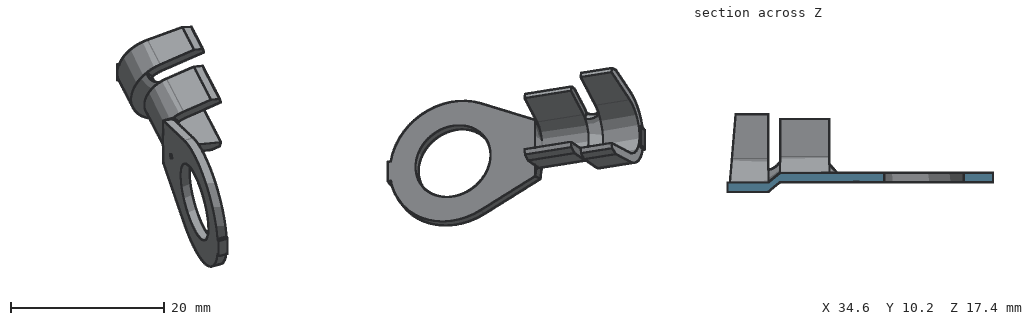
import cadquery as cq
import math

thickness = 1.27

ring_radius = 8.72
hole_radius = 5.17
tongue_start_x = -11.66
tongue_start_half_width = 3.97
dimple_x = -8.81
dimple_radius = 0.3
dimple_depth = 0.1

tab_half_width = 1.42
ring_tab_end_x = 9.01
total_length = 34.61
crimp_tab_end_x = ring_tab_end_x - total_length

bend_axis_y = 3.96
wire_radius = bend_axis_y
insulation_radius = wire_radius + thickness
insulation_bottom_y = bend_axis_y - insulation_radius
leg_angle = math.radians(12.8)
tip_bevel_length = 1.14
tip_bevel_depth = 0.55

wire_start_x = -18.74
wire_end_x = -12.33
wire_top_y = 8.28
insulation_end_x = -20.28
insulation_top_y = 8.89
insulation_bottom_start_x = -25.41
insulation_top_start_x = -24.55

crimp_neck_insulation_angle = 54.5
crimp_neck_middle_angle = 52.5
crimp_neck_wire_angle = 62
tongue_neck_angle = 55
tongue_bend_setback = 0.33


def barrel(outer_radius, top_y, start_x, end_x):
    """U-shaped crimp barrel with straight flared legs and bevelled tips."""
    inner_radius = outer_radius - thickness
    cos_leg = math.cos(leg_angle)
    sin_leg = math.sin(leg_angle)
    leg_length = (top_y - bend_axis_y + inner_radius * sin_leg) / cos_leg

    def leg_point(along, offset, side):
        """Point at a distance along the leg and an offset from the bend axis."""
        y = bend_axis_y + along * cos_leg - offset * sin_leg
        z = along * sin_leg + offset * cos_leg
        return (y, side * z)

    profile = (
        cq.Workplane("YZ", origin=(start_x, 0, 0))
        .moveTo(*leg_point(0, outer_radius, 1))
        .threePointArc((bend_axis_y - outer_radius, 0), leg_point(0, outer_radius, -1))
        .lineTo(*leg_point(leg_length - tip_bevel_length, outer_radius, -1))
        .lineTo(*leg_point(leg_length, outer_radius - tip_bevel_depth, -1))
        .lineTo(*leg_point(leg_length, inner_radius, -1))
        .lineTo(*leg_point(0, inner_radius, -1))
        .threePointArc((bend_axis_y - inner_radius, 0), leg_point(0, inner_radius, 1))
        .lineTo(*leg_point(leg_length, inner_radius, 1))
        .lineTo(*leg_point(leg_length, outer_radius - tip_bevel_depth, 1))
        .lineTo(*leg_point(leg_length - tip_bevel_length, outer_radius, 1))
        .close()
    )
    return profile.extrude(end_x - start_x)


def section_wire(outer_start, outer_middle, outer_end, inner_end, inner_middle, inner_start):
    """Closed four-edge strip section: two arcs, or lines where the middle is None, and two ends."""

    def long_edge(start, middle, end):
        if middle is None:
            return cq.Edge.makeLine(start, end)
        return cq.Edge.makeThreePointArc(start, middle, end)

    return cq.Wire.assembleEdges([
        long_edge(outer_start, outer_middle, outer_end),
        cq.Edge.makeLine(outer_end, inner_end),
        long_edge(inner_end, inner_middle, inner_start),
        cq.Edge.makeLine(inner_start, outer_start),
    ])


def curved_section(x, outer_radius, half_angle):
    """Strip section bent about the barrel axis, with radial ends."""
    angle = math.radians(half_angle)

    def point(radius, turn):
        return cq.Vector(x, bend_axis_y - radius * math.cos(turn), radius * math.sin(turn))

    inner_radius = outer_radius - thickness
    return section_wire(
        point(outer_radius, angle), point(outer_radius, 0), point(outer_radius, -angle),
        point(inner_radius, -angle), point(inner_radius, 0), point(inner_radius, angle),
    )


side_slope = (
    math.asin(ring_radius / math.hypot(tongue_start_x, tongue_start_half_width))
    - math.atan(tongue_start_half_width / -tongue_start_x)
)
tangent_x = -ring_radius * math.sin(side_slope)
tangent_z = ring_radius * math.cos(side_slope)
bend_top_x = tongue_start_x + tongue_bend_setback
bend_top_half_width = tongue_start_half_width + tongue_bend_setback * math.tan(side_slope)


def tongue():
    """Flat ring tongue with its hole, end tab and small dimple."""
    blank = (
        cq.Workplane("XZ")
        .moveTo(tongue_start_x, tongue_start_half_width)
        .lineTo(tangent_x, tangent_z)
        .threePointArc((ring_radius, 0), (tangent_x, -tangent_z))
        .lineTo(tongue_start_x, -tongue_start_half_width)
        .close()
        .extrude(-thickness)
    )
    tab_length = ring_tab_end_x - hole_radius
    tab = (
        cq.Workplane("XY", origin=(hole_radius, 0, 0))
        .box(tab_length, thickness, 2 * tab_half_width, centered=(False, False, True))
    )
    bend_wedge = (
        cq.Workplane("XY")
        .polyline([(tongue_start_x, 0), (bend_top_x, thickness), (tongue_start_x, thickness)])
        .close()
        .extrude(ring_radius, both=True)
    )
    hole = cq.Workplane("XZ").circle(hole_radius).extrude(-thickness)
    dimple = cq.Workplane("XZ").center(dimple_x, 0).circle(dimple_radius).extrude(-dimple_depth)
    return blank.union(tab).cut(bend_wedge).cut(hole).cut(dimple)


def tongue_neck():
    """Transition from the curved wire barrel to the flat tongue."""
    flat_section = section_wire(
        cq.Vector(tongue_start_x, 0, tongue_start_half_width),
        None,
        cq.Vector(tongue_start_x, 0, -tongue_start_half_width),
        cq.Vector(bend_top_x, thickness, -bend_top_half_width),
        None,
        cq.Vector(bend_top_x, thickness, bend_top_half_width),
    )
    curved = curved_section(wire_end_x, wire_radius, tongue_neck_angle)
    return cq.Workplane(cq.Solid.makeLoft([curved, flat_section], True))


def crimp_neck():
    """Conical strip with waisted edges joining the two barrels."""
    middle_x = (insulation_end_x + wire_start_x) / 2
    middle_radius = (insulation_radius + wire_radius) / 2
    sections = [
        curved_section(insulation_end_x, insulation_radius, crimp_neck_insulation_angle),
        curved_section(middle_x, middle_radius, crimp_neck_middle_angle),
        curved_section(wire_start_x, wire_radius, crimp_neck_wire_angle),
    ]
    return cq.Workplane(cq.Solid.makeLoft(sections))


def insulation_crimp():
    """Insulation barrel with a sloping open end and a cut-off tab at its base."""
    body = barrel(insulation_radius, insulation_top_y, insulation_bottom_start_x, insulation_end_x)
    slope = (insulation_top_start_x - insulation_bottom_start_x) / (insulation_top_y - insulation_bottom_y)
    end_trim = (
        cq.Workplane("XY")
        .polyline([
            (insulation_bottom_start_x, insulation_bottom_y),
            (insulation_top_start_x, insulation_top_y),
            (insulation_bottom_start_x, insulation_top_y),
        ])
        .close()
        .extrude(ring_radius, both=True)
    )
    tab_top_y = insulation_bottom_y + thickness
    tab = (
        cq.Workplane("XY")
        .polyline([
            (crimp_tab_end_x, insulation_bottom_y),
            (insulation_bottom_start_x, insulation_bottom_y),
            (insulation_bottom_start_x + slope * thickness, tab_top_y),
            (crimp_tab_end_x, tab_top_y),
        ])
        .close()
        .extrude(tab_half_width, both=True)
    )
    return body.cut(end_trim).union(tab)


wire_crimp = barrel(wire_radius, wire_top_y, wire_start_x, wire_end_x)
result = insulation_crimp().union(crimp_neck()).union(wire_crimp).union(tongue_neck()).union(tongue())